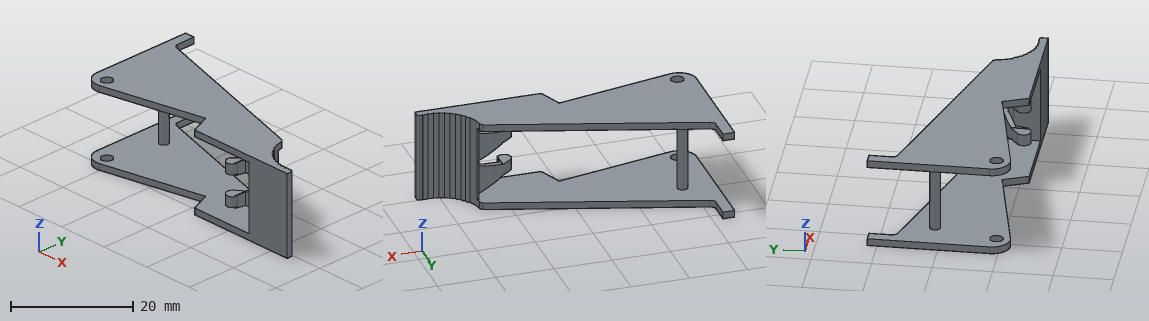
import cadquery as cq
import math

length = 47.5
depth = 23.2
height = 15.6
plate_thickness = 1.25
inner_half_height = height / 2 - plate_thickness

arm_width = 2.0
arm_fillet = 1.0
pivot_end_radius = 3.0
lower_edge_angle = math.radians(12)
notch_x = 24.05
lever_x = 25.8
lever_y = 0.22
slope_start_y = 18.75
slope_end = (38.35, 8.0)
slope_end_fillet = 0.4
lip_y = 1.6
lip_fillet = 0.4

thumb_center = (45.5, 8.3)
thumb_radius = 6.85
thumb_top_x = 38.7
ridge_count = 9
ridge_height = 0.17
ridge_start = math.radians(209.5)
ridge_end = math.radians(279)

pivot_hole_diameter = 2.2
pivot_hole_center = (3.1, 2.3)
pin_diameter = 1.8
pin_center = (5.6, 12.8)

block_x = 38.55
block_top_y = 6.6

hook_offset_z = 3.0
hook_tip_center = (32.75, 2.12)
hook_tip_radius = 1.2
hook_tip_half_width = 1.0
hook_taper_x = 33.75
hook_taper_half_width = 1.1
hook_root_half_width = 2.5
hook_root_top_y = 6.5
hook_shoulder = (33.8, 4.4)
hook_tip_top_y = 3.05
hook_underside_start = (34.2, 3.7)
hook_underside_end_y = 5.9
hook_root_fillet = 0.75


def thumb_point(angle, radius=thumb_radius):
    """Point at the given angle on a circle about the thumb rest centre."""
    return (
        thumb_center[0] + radius * math.cos(angle),
        thumb_center[1] + radius * math.sin(angle),
    )


def side_profile():
    """Solid with the plate outline, extruded over the full height."""
    tangent_x = pivot_end_radius * (1 + math.sin(lower_edge_angle))
    tangent_y = pivot_end_radius * (1 - math.cos(lower_edge_angle))
    round_mid = pivot_end_radius * (1 - math.cos(math.pi / 4))
    notch_y = tangent_y + (notch_x - tangent_x) * math.tan(lower_edge_angle)

    thumb_top_angle = math.pi + math.acos((thumb_center[0] - thumb_top_x) / thumb_radius)
    thumb_mid_angle = (thumb_top_angle + ridge_start) / 2
    ridge_step = (ridge_end - ridge_start) / ridge_count

    outline = (
        cq.Workplane("XY")
        .workplane(offset=-height / 2)
        .moveTo(0, depth)
        .lineTo(0, pivot_end_radius)
        .threePointArc((round_mid, round_mid), (tangent_x, tangent_y))
        .lineTo(notch_x, notch_y)
        .lineTo(lever_x, lever_y)
        .lineTo(length, lever_y)
        .lineTo(length, lip_y)
        .lineTo(thumb_point(ridge_end)[0], lip_y)
        .lineTo(*thumb_point(ridge_end))
    )
    for index in range(ridge_count):
        valley_angle = ridge_end - index * ridge_step
        crest = thumb_point(valley_angle - ridge_step / 2, thumb_radius - ridge_height)
        outline = outline.threePointArc(crest, thumb_point(valley_angle - ridge_step))
    body = (
        outline.threePointArc(thumb_point(thumb_mid_angle), thumb_point(thumb_top_angle))
        .lineTo(*slope_end)
        .lineTo(arm_width, slope_start_y)
        .lineTo(arm_width, depth)
        .close()
        .extrude(height)
    )
    body = fillet_edge_at(body, arm_width, slope_start_y, arm_fillet)
    body = fillet_edge_at(body, *slope_end, slope_end_fillet)
    return fillet_edge_at(body, length, lip_y, lip_fillet)


def fillet_edge_at(body, x, y, radius):
    """Round the vertical edge that passes through (x, y)."""
    return body.edges(cq.selectors.NearestToPointSelector((x, y, 0))).fillet(radius)


def plate_gap():
    """Space between the plates: everything except the thumb block."""
    gap_height = 2 * inner_half_height
    beside_block = cq.Workplane("XY").box(block_x, depth, gap_height, centered=(False, False, True))
    above_block = (
        cq.Workplane("XY", origin=(0, block_top_y, 0))
        .box(length, depth - block_top_y, gap_height, centered=(False, False, True))
    )
    return beside_block.union(above_block)


def hook(center_z):
    """Tapered arm with a round tip, standing out from the block face."""
    tip_x, tip_y = hook_tip_center
    tip_top_x = tip_x - math.sqrt(hook_tip_radius**2 - (hook_tip_top_y - tip_y) ** 2)

    underside_rise = hook_underside_end_y - hook_underside_start[1]
    underside_angle = math.atan2(underside_rise, block_x - hook_underside_start[0])
    fillet_reach = hook_root_fillet / math.tan((math.pi / 2 - underside_angle) / 2)
    fillet_start = (
        block_x - fillet_reach * math.cos(underside_angle),
        hook_underside_end_y - fillet_reach * math.sin(underside_angle),
    )
    fillet_end = (block_x, hook_underside_end_y - fillet_reach)
    arm = (
        cq.Workplane("XY")
        .workplane(offset=center_z - hook_root_half_width)
        .moveTo(block_x, hook_root_top_y)
        .threePointArc(hook_shoulder, (tip_top_x, hook_tip_top_y))
        .threePointArc((tip_x, tip_y - hook_tip_radius), (tip_x + hook_tip_radius, tip_y))
        .lineTo(*hook_underside_start)
        .lineTo(*fillet_start)
        .tangentArcPoint(fillet_end, relative=False)
        .close()
        .extrude(2 * hook_root_half_width)
    )
    taper = (
        cq.Workplane("XZ", origin=(0, 0, center_z))
        .moveTo(block_x, hook_root_half_width)
        .lineTo(hook_taper_x, hook_taper_half_width)
        .lineTo(hook_taper_x, hook_tip_half_width)
        .lineTo(tip_x - hook_tip_radius, hook_tip_half_width)
        .lineTo(tip_x - hook_tip_radius, 0)
        .lineTo(block_x, 0)
        .close()
        .extrude(-depth)
    )
    taper = taper.union(taper.mirror("XY", (0, 0, center_z)))
    return arm.intersect(taper)


def vertical_cylinder(center, diameter):
    """Round column along Z over the full height, for the pin and the pivot holes."""
    return (
        cq.Workplane("XY", origin=(*center, -height / 2))
        .circle(diameter / 2)
        .extrude(height)
    )


body = side_profile().cut(plate_gap())
for side in (-1, 1):
    body = body.union(hook(side * hook_offset_z))

pin = vertical_cylinder(pin_center, pin_diameter)
pivot_holes = vertical_cylinder(pivot_hole_center, pivot_hole_diameter)
result = body.union(pin).cut(pivot_holes)